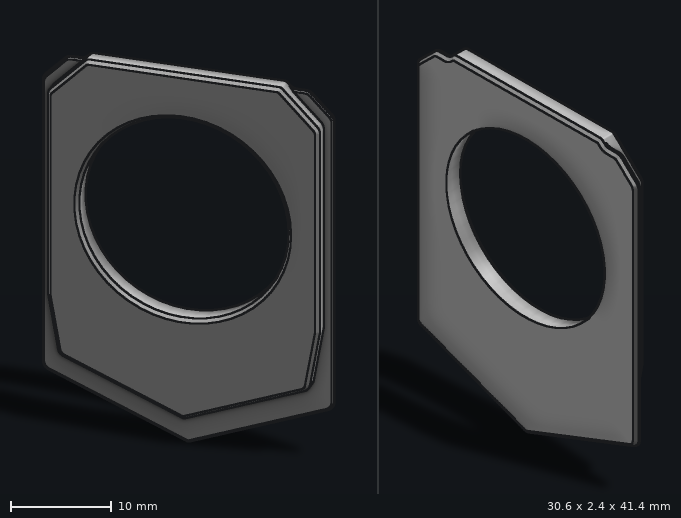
import cadquery as cq
import math

TOTAL_THICKNESS = 2.4
PLATE_THICKNESS = 0.8
HOLE_DIAMETER = 22.0

PLATE_HALF_WIDTH = 15.3
PLATE_TOP = 15.3
PLATE_TIP = -25.4
PLATE_CORNER_CUT = 2.6

BLOCK_MARGIN = 1.0
BLOCK_HALF_WIDTH = PLATE_HALF_WIDTH - BLOCK_MARGIN
BLOCK_TOP = 16.0
BLOCK_TIP = -22.2
BLOCK_CORNER_CUT = 4.1
BLOCK_TAPER_START = -10.5
BLOCK_TAPER_ANGLE = 10.0

POINT_SLOPE = 0.393

CORNER_RADIUS = 1.0
BLOCK_TOP_RADIUS = 0.6
EDGE_CHAMFER = 0.4
PLATE_FRONT_CHAMFER = 0.2

FRONT_Y = 0.0
BACK_Y = FRONT_Y + TOTAL_THICKNESS
PLATE_FRONT_Y = BACK_Y - PLATE_THICKNESS
BLOCK_BACK_Y = BACK_Y - EDGE_CHAMFER


def symmetric_prism(right_side, tip_z, y_front, y_back):
    """Extrude an outline given by its right-hand corners (top to bottom) and its lower tip."""
    left_side = [(-x, z) for x, z in reversed(right_side)]
    outline = right_side + [(0, tip_z)] + left_side
    return (
        cq.Workplane("XZ", origin=(0, y_front, 0))
        .polyline(outline)
        .close()
        .extrude(-(y_back - y_front))
    )


def round_side_corners(prism, lowest_z, highest_z, radius=CORNER_RADIUS):
    """Round the corner edges along Y that lie between two heights."""
    reach = 2 * PLATE_HALF_WIDTH
    zone = cq.selectors.BoxSelector((-reach, -reach, lowest_z), (reach, reach, highest_z))
    return prism.edges("|Y").edges(zone).fillet(radius)


def plate_prism():
    corners = [
        (PLATE_HALF_WIDTH - PLATE_CORNER_CUT, PLATE_TOP),
        (PLATE_HALF_WIDTH, PLATE_TOP - PLATE_CORNER_CUT),
        (PLATE_HALF_WIDTH, PLATE_TIP + POINT_SLOPE * PLATE_HALF_WIDTH),
    ]
    prism = symmetric_prism(corners, PLATE_TIP, PLATE_FRONT_Y, BACK_Y)
    return round_side_corners(prism, PLATE_TIP + CORNER_RADIUS, BLOCK_TOP)


def block_prism(y_front, y_back):
    taper = math.tan(math.radians(BLOCK_TAPER_ANGLE))
    corner_x = (BLOCK_HALF_WIDTH - taper * (BLOCK_TAPER_START - BLOCK_TIP)) / (1 - taper * POINT_SLOPE)
    corner_z = BLOCK_TIP + POINT_SLOPE * corner_x
    corners = [
        (BLOCK_HALF_WIDTH - BLOCK_CORNER_CUT, BLOCK_TOP),
        (BLOCK_HALF_WIDTH, BLOCK_TOP - BLOCK_CORNER_CUT),
        (BLOCK_HALF_WIDTH, BLOCK_TAPER_START),
        (corner_x, corner_z),
    ]
    prism = symmetric_prism(corners, BLOCK_TIP, y_front, y_back)
    prism = round_side_corners(prism, PLATE_TOP, BLOCK_TOP + CORNER_RADIUS, BLOCK_TOP_RADIUS)
    prism = round_side_corners(prism, 0, PLATE_TOP)
    return round_side_corners(prism, BLOCK_TIP + CORNER_RADIUS, BLOCK_TAPER_START - CORNER_RADIUS)


def back_plate():
    """Plate whose outline also takes in the block's top, with its inner corners rounded."""
    plate = plate_prism().union(block_prism(PLATE_FRONT_Y, BACK_Y)).clean()
    junction_x = BLOCK_HALF_WIDTH - BLOCK_CORNER_CUT + BLOCK_TOP - PLATE_TOP
    for x in (-junction_x, junction_x):
        junction = cq.selectors.NearestToPointSelector((x, BACK_Y - PLATE_THICKNESS / 2, PLATE_TOP))
        plate = plate.edges("|Y").edges(junction).fillet(CORNER_RADIUS)
    plate = plate.faces(">Y").edges().chamfer(EDGE_CHAMFER)
    return plate.faces("<Y").edges().chamfer(PLATE_FRONT_CHAMFER)


def hole_cutter():
    return cq.Workplane("XZ", origin=(0, FRONT_Y, 0)).circle(HOLE_DIAMETER / 2).extrude(-TOTAL_THICKNESS)


def raised_block():
    """Block with the hole through it; the outline and the hole rim share one front chamfer."""
    block = block_prism(FRONT_Y, BLOCK_BACK_Y).cut(hole_cutter())
    return block.faces("<Y").edges().chamfer(EDGE_CHAMFER)


result = back_plate().cut(hole_cutter()).union(raised_block())